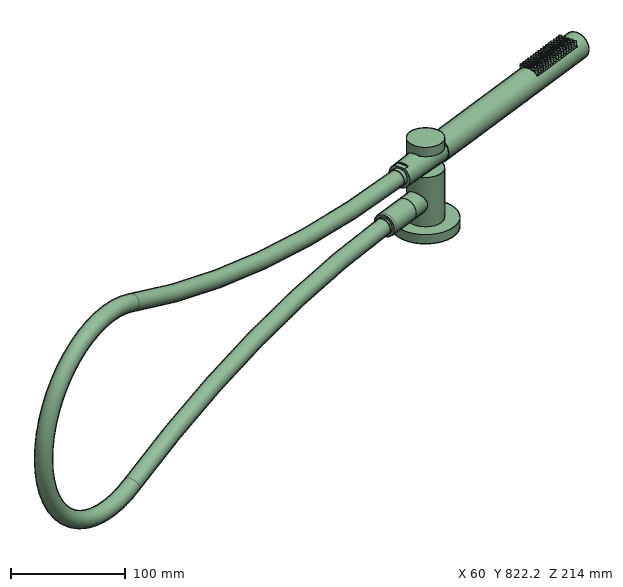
import cadquery as cq
import math

SWING_ANGLE = -1.37

FLANGE_DIAMETER = 60.0
FLANGE_HEIGHT = 9.5
COLUMN_DIAMETER = 33.5
COLUMN_TOP = 90.0
SIDE_SLOT_HEIGHT = 21.0

HANDSET_AXIS_HEIGHT = 70.0
OUTLET_AXIS_HEIGHT = 31.5

HANDSET_DIAMETER = 26.0
HANDSET_START = 17.0
HANDSET_END = 231.0

SPRAY_START = 157.0
SPRAY_END = 218.0
SPRAY_FLOOR = 8.4
NOZZLE_DIAMETER = 3.0
NOZZLE_TIP = 13.6
NOZZLE_ROWS = 5
NOZZLE_COLUMNS = 16
NOZZLE_PITCH = 3.9

CONE_LARGE_DIAMETER = 24.7
CONE_SMALL_DIAMETER = 22.0
CONE_END = -39.8
FLAT_LENGTH = 5.2
FLAT_HEIGHT = 9.6

OUTLET_DIAMETER = 22.0
OUTLET_ROOT = -10.0
OUTLET_END = -30.0
HOSE_NUT_END = -63.0
HOSE_NUT_BEVEL_LENGTH = 2.5
HOSE_NUT_BEVEL_DEPTH = 0.4

HOSE_DIAMETER = 16.0
FERRULE_DIAMETER = 16.5
UPPER_FERRULE_LENGTH = 4.5
LOWER_FERRULE_LENGTH = 2.5
LOOP_RADIUS = 98.975
LOOP_CENTRE_Y = -484.16
LOOP_CENTRE_HEIGHT = 51.0


def rod(diameter, height, start, end):
    """Solid cylinder along Y between two Y positions, at a given height."""
    plane = cq.Plane(origin=(0, start, height), xDir=(1, 0, 0), normal=(0, 1, 0))
    return cq.Workplane(plane).circle(diameter / 2).extrude(end - start)


def slab_above(height, start, end):
    """Block over the handset axis, from a height above it, between two Y positions."""
    block = cq.Workplane("XY").box(
        HANDSET_DIAMETER, end - start, HANDSET_DIAMETER, centered=(True, False, False)
    )
    return block.translate((0, start, HANDSET_AXIS_HEIGHT + height))


def make_flange():
    return cq.Workplane("XY").circle(FLANGE_DIAMETER / 2).extrude(FLANGE_HEIGHT)


def make_cone_nut():
    length = HANDSET_START - CONE_END
    plane = cq.Plane(origin=(0, HANDSET_START, HANDSET_AXIS_HEIGHT), xDir=(1, 0, 0), normal=(0, -1, 0))
    cone = (
        cq.Workplane(plane)
        .circle(CONE_LARGE_DIAMETER / 2)
        .workplane(offset=length)
        .circle(CONE_SMALL_DIAMETER / 2)
        .loft()
    )
    above_flat = slab_above(FLAT_HEIGHT, CONE_END, CONE_END + FLAT_LENGTH)
    return cone.cut(above_flat)


def make_outlet():
    """Stub let into the column; its inner end stays inside the column."""
    return rod(OUTLET_DIAMETER, OUTLET_AXIS_HEIGHT, OUTLET_ROOT, OUTLET_END)


def make_column(cone_nut, outlet):
    column = (
        cq.Workplane("XY")
        .workplane(offset=FLANGE_HEIGHT)
        .circle(COLUMN_DIAMETER / 2)
        .extrude(COLUMN_TOP - FLANGE_HEIGHT)
    )
    side_slot = (
        cq.Workplane("XY")
        .box(COLUMN_DIAMETER, COLUMN_DIAMETER, SIDE_SLOT_HEIGHT, centered=(False, True, True))
        .translate((0, 0, HANDSET_AXIS_HEIGHT))
    )
    return column.cut(side_slot).cut(cone_nut).cut(outlet)


def make_spray_seat():
    """Slice of the handset's round top that the spray face fills."""
    round_length = rod(HANDSET_DIAMETER, HANDSET_AXIS_HEIGHT, SPRAY_START, SPRAY_END)
    return round_length.intersect(slab_above(SPRAY_FLOOR, SPRAY_START, SPRAY_END))


def make_spray_face(seat):
    """Spray plate filling the seat, with a grid of nozzles standing through it."""
    nozzles = (
        cq.Workplane("XY")
        .workplane(offset=HANDSET_AXIS_HEIGHT + SPRAY_FLOOR)
        .center(0, (SPRAY_START + SPRAY_END) / 2)
        .rarray(NOZZLE_PITCH, NOZZLE_PITCH, NOZZLE_ROWS, NOZZLE_COLUMNS)
        .circle(NOZZLE_DIAMETER / 2)
        .extrude(NOZZLE_TIP - SPRAY_FLOOR)
    )
    return seat.union(nozzles)


def make_handset(spray_face):
    """Round handle with a recess that matches the spray face and its end nozzles."""
    return rod(HANDSET_DIAMETER, HANDSET_AXIS_HEIGHT, HANDSET_START, HANDSET_END).cut(spray_face)


def make_hose_nut():
    barrel = rod(OUTLET_DIAMETER, OUTLET_AXIS_HEIGHT, OUTLET_END, HOSE_NUT_END)
    return barrel.faces("<Y").chamfer(HOSE_NUT_BEVEL_LENGTH, HOSE_NUT_BEVEL_DEPTH)


def hose_leg(start_y, start_height, side):
    """Middle and end (Y, Z) of the arc that leaves level at the start and is tangent to the loop.

    side is +1 for the leg that bends upwards and -1 for the one that bends downwards.
    """
    run = start_y - LOOP_CENTRE_Y
    drop = side * (LOOP_CENTRE_HEIGHT - start_height)
    leg_radius = (run**2 + drop**2 - LOOP_RADIUS**2) / (2 * (LOOP_RADIUS + drop))
    bend = math.atan2(run, leg_radius - drop)

    def point_at(angle):
        y = start_y - leg_radius * math.sin(angle)
        z = start_height + side * leg_radius * (1 - math.cos(angle))
        return (y, z)

    return point_at(bend / 2), point_at(bend)


def make_hose():
    upper_start = CONE_END - UPPER_FERRULE_LENGTH
    lower_start = HOSE_NUT_END - LOWER_FERRULE_LENGTH
    upper_middle, upper_join = hose_leg(upper_start, HANDSET_AXIS_HEIGHT, 1)
    lower_middle, lower_join = hose_leg(lower_start, OUTLET_AXIS_HEIGHT, -1)
    path = (
        cq.Workplane("YZ")
        .moveTo(upper_start, HANDSET_AXIS_HEIGHT)
        .threePointArc(upper_middle, upper_join)
        .threePointArc((LOOP_CENTRE_Y - LOOP_RADIUS, LOOP_CENTRE_HEIGHT), lower_join)
        .threePointArc(lower_middle, (lower_start, OUTLET_AXIS_HEIGHT))
    )
    section = cq.Plane(origin=(0, upper_start, HANDSET_AXIS_HEIGHT), xDir=(1, 0, 0), normal=(0, 1, 0))
    tube = cq.Workplane(section).circle(HOSE_DIAMETER / 2).sweep(path)
    upper_ferrule = rod(FERRULE_DIAMETER, HANDSET_AXIS_HEIGHT, CONE_END, upper_start)
    lower_ferrule = rod(FERRULE_DIAMETER, OUTLET_AXIS_HEIGHT, HOSE_NUT_END, lower_start)
    return tube.union(upper_ferrule).union(lower_ferrule)


seat = make_spray_seat()
cone_nut = make_cone_nut()
outlet = make_outlet()
flange = make_flange()
column = make_column(cone_nut, outlet)
spray_face = make_spray_face(seat)
handset = make_handset(spray_face)
hose_nut = make_hose_nut()
hose = make_hose()

bodies = [flange, column, handset, spray_face, cone_nut, outlet, hose_nut, hose]
origin = cq.Vector(0, 0, 0)
vertical = cq.Vector(0, 0, 1)
result = cq.Compound.makeCompound([body.val().rotate(origin, vertical, SWING_ANGLE) for body in bodies])